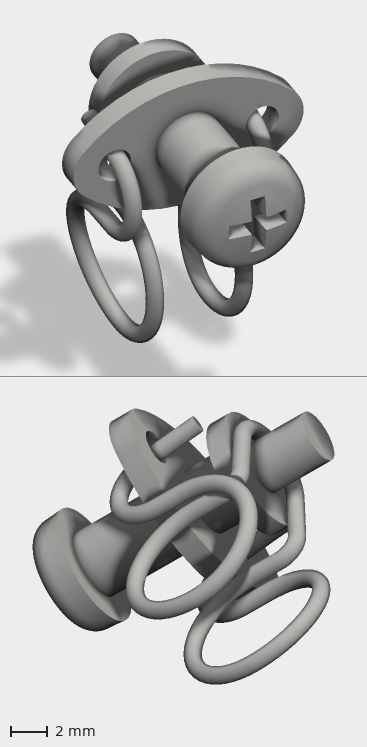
import cadquery as cq
import math


stub_radius = 1.51
shaft_radius = 2.0
collar_radius = 3.5
collar_start = 3.8
collar_thickness = 1.2
collar_end = collar_start + collar_thickness

head_start = 14.97
rim_width = 1.14
rim_end = head_start + rim_width
rim_end_radius = 3.4
shoulder_mid = (16.9, 3.04)
dome_start = 17.22
dome_edge_radius = 2.42
dome_apex = 17.57
dome_rise = dome_apex - dome_start
dome_radius = (dome_edge_radius**2 + dome_rise**2) / (2 * dome_rise)

recess_width = 0.88
recess_length = 3.51
recess_depth = 1.5

plate_start = 7.6
plate_thickness = 1.4
plate_half_height = 4.0
plate_end_radius = 2.0
plate_end_offset = 5.0
eye_radius = 1.0
eye_offset = 4.5

wire_diameter = 1.0
wire_radius = wire_diameter / 2
arch_radius = 2.5
arch_top = stub_radius + wire_radius
arch_center_z = arch_top - arch_radius
arch_x = collar_start - wire_radius
leg_splay = math.radians(2.8)
bend_radius = 1.25
run_z = -4.88
ring_x = 6.32
ring_radius = 4.0
hook_y = 4.09
hook_start_x = 7.92
hook_radius = 2.5
tip_slope = math.radians(10)
tip_x = 5.12


def make_pin():
    pin = (
        cq.Workplane("XY")
        .lineTo(0, stub_radius)
        .lineTo(collar_start, stub_radius)
        .lineTo(collar_start, collar_radius)
        .lineTo(collar_end, collar_radius)
        .lineTo(collar_end, shaft_radius)
        .lineTo(head_start, shaft_radius)
        .lineTo(head_start, collar_radius)
        .lineTo(rim_end, rim_end_radius)
        .threePointArc(shoulder_mid, (dome_start, dome_edge_radius))
        .radiusArc((dome_apex, 0), dome_radius)
        .close()
        .revolve(360, (0, 0, 0), (1, 0, 0))
    )
    recess = (
        cq.Workplane("YZ", origin=(dome_apex, 0, 0))
        .rect(recess_length, recess_width)
        .extrude(-recess_depth)
        .union(
            cq.Workplane("YZ", origin=(dome_apex, 0, 0))
            .rect(recess_width, recess_length)
            .extrude(-recess_depth)
        )
    )
    return pin.cut(recess)


def make_plate():
    rise = plate_half_height - plate_end_radius
    broad_offset = (plate_end_offset**2 - rise**2) / (2 * rise)
    end_angle = math.atan2(broad_offset, plate_end_offset)
    tangent_y = plate_end_offset + plate_end_radius * math.cos(end_angle)
    tangent_z = plate_end_radius * math.sin(end_angle)
    tip_y = plate_end_offset + plate_end_radius
    return (
        cq.Workplane("YZ", origin=(plate_start, 0, 0))
        .moveTo(-tangent_y, tangent_z)
        .threePointArc((0, plate_half_height), (tangent_y, tangent_z))
        .threePointArc((tip_y, 0), (tangent_y, -tangent_z))
        .threePointArc((0, -plate_half_height), (-tangent_y, -tangent_z))
        .threePointArc((-tip_y, 0), (-tangent_y, tangent_z))
        .close()
        .extrude(plate_thickness)
        .faces("<X").workplane(origin=(plate_start, 0, 0))
        .circle(shaft_radius).cutThruAll()
        .faces("<X").workplane(origin=(plate_start, 0, 0))
        .pushPoints([(-eye_offset, 0), (eye_offset, 0)])
        .circle(eye_radius).cutThruAll()
    )


def clip_side_path():
    """Tangent wire centerline from the top of the arch to the free tip."""
    def arch_point(angle):
        y = arch_radius * math.cos(angle)
        z = arch_center_z + arch_radius * math.sin(angle)
        return cq.Vector(arch_x, y, z)

    arch_mid_angle = (math.pi / 2 + leg_splay) / 2
    arch_end = arch_point(leg_splay)
    leg_direction = cq.Vector(0, math.sin(leg_splay), -math.cos(leg_splay))

    leg_length = (arch_end.z - run_z) / math.cos(leg_splay) - bend_radius
    leg_end = arch_end + leg_direction * leg_length
    diagonal = math.sqrt(0.5)
    bend_mid_along_x = cq.Vector(bend_radius * (1 - diagonal), 0, 0)
    bend_mid = leg_end + bend_mid_along_x + leg_direction * (bend_radius * diagonal)
    bend_end = leg_end + cq.Vector(bend_radius, 0, 0) + leg_direction * bend_radius

    ring_y = bend_end.y
    ring_z = run_z - ring_radius
    ring_top = cq.Vector(ring_x, ring_y, run_z)
    ring_side = cq.Vector(ring_x + ring_radius, ring_y, ring_z)
    ring_bottom = cq.Vector(ring_x, ring_y, run_z - 2 * ring_radius)
    ring_end = cq.Vector(ring_x, hook_y, run_z)
    lean_center = (ring_bottom + ring_end) * 0.5
    lean_radius = (ring_end - ring_bottom).Length / 2
    lean_side = lean_center - cq.Vector(lean_radius, 0, 0)

    hook_z = run_z + hook_radius
    hook_start = cq.Vector(hook_start_x, hook_y, run_z)
    hook_side = cq.Vector(hook_start_x + hook_radius, hook_y, hook_z)
    hook_end = cq.Vector(
        hook_start_x + hook_radius * math.sin(tip_slope),
        hook_y,
        hook_z + hook_radius * math.cos(tip_slope),
    )
    tip = cq.Vector(tip_x, hook_y, hook_end.z + (hook_end.x - tip_x) * math.tan(tip_slope))

    line = cq.Edge.makeLine
    arc = cq.Edge.makeThreePointArc
    return cq.Wire.assembleEdges([
        arc(arch_point(math.pi / 2), arch_point(arch_mid_angle), arch_end),
        line(arch_end, leg_end),
        arc(leg_end, bend_mid, bend_end),
        line(bend_end, ring_top),
        arc(ring_top, ring_side, ring_bottom),
        arc(ring_bottom, lean_side, ring_end),
        line(ring_end, hook_start),
        arc(hook_start, hook_side, hook_end),
        line(hook_end, tip),
    ])


def make_clip():
    side = (
        cq.Workplane("XZ", origin=(arch_x, 0, arch_top))
        .circle(wire_radius)
        .sweep(cq.Workplane(obj=clip_side_path()))
    )
    return side.union(side.mirror("XZ"))


pin = make_pin()
plate = make_plate()
clip = make_clip()

result = cq.Compound.makeCompound([pin.val(), plate.val(), clip.val()])